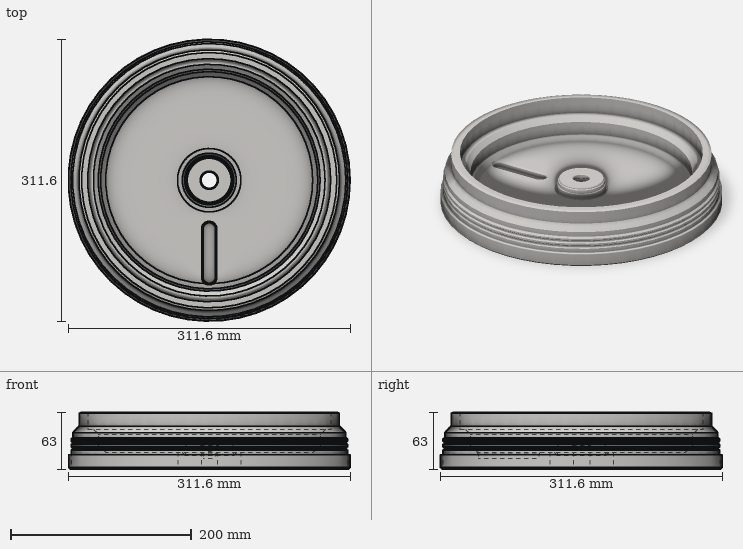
import cadquery as cq

total_height = 63.0
floor_z = 18.7
band_height = 16.2

rim_radius = 288.0 / 2
rim_top_radius = 282.0 / 2
rim_edge_drop = 1.2
neck_z = 46.5
neck_flare = 1.2
shoulder_radius = 302.0 / 2
shoulder_z = 40.5
rib_radius = 306.0 / 2
groove_radius = 303.0 / 2
groove_slope = 1.2
groove_spans = [(22.0, 23.7), (28.5, 30.0)]
rib_top_z = 33.0
rib_shoulder_z = 35.0

upper_bore_radius = 268.5 / 2
ledge_radius = 128.0
ledge_z = 44.0
lower_bore_radius = 245.3 / 2
inner_cone_z = ledge_z - (ledge_radius - lower_bore_radius)
step_radius = 120.0
step_z = 23.5
floor_radius = 114.5

band_radius = 155.8
band_bottom_chamfer = 2.2
band_top_fillet = 1.2

slot_width = 16.8
slot_inner_end = -45.5
slot_outer_end = -115.5
slot_depth = 6.5
slot_chamfer = 1.5

flange_radius = 70.0 / 2
hub_top_z = 31.5
hub_top_radius = 48.5 / 2
hub_radius = 50 / 2
hub_top_chamfer_height = 1.0
hub_middle_radius = 26.0
hub_base_radius = 26.5
hub_upper_step_z = 29.5
hub_lower_step_z = 24.5
hub_base_z = 18.0
moat_top_radius = 30.0
moat_bottom_radius = 27.0
moat_z = 15.5
bore_radius = 18.0 / 2
bore_mouth_radius = 20.0 / 2
bore_groove_z = 26.0


def revolve_profile(points):
    """Revolve a closed (radius, height) outline about the Z axis."""
    return cq.Workplane("XZ").polyline(points).close().revolve(360, (0, 0, 0), (0, 1, 0))


def slot_prism(width, depth, taper=0):
    """Stadium-shaped prism going down from the floor height."""
    length = slot_inner_end - slot_outer_end - (slot_width - width)
    middle = (slot_inner_end + slot_outer_end) / 2
    sketch = cq.Workplane("XY").workplane(offset=floor_z).center(0, middle)
    return sketch.slot2D(length, width, 90).extrude(-depth, taper=taper)


def slot_cutter():
    """Straight-walled slot with a chamfered mouth, open upward where it meets the floor cone."""
    narrow_width = slot_width - 2 * slot_chamfer
    bottom = slot_prism(narrow_width, slot_depth)
    mouth = slot_prism(slot_width, slot_chamfer, taper=45)
    above = slot_prism(slot_width, floor_z - step_z)
    return bottom.union(mouth).union(above)


def make_dish():
    """Ribbed round dish with a stepped bore, a seat for the hub and a slot."""
    grooves = []
    for low, high in groove_spans:
        grooves += [
            (rib_radius, low - groove_slope),
            (groove_radius, low),
            (groove_radius, high),
            (rib_radius, high + groove_slope),
        ]
    outside = [
        (flange_radius, 0),
        (rib_radius, 0),
        *grooves,
        (rib_radius, rib_top_z),
        (shoulder_radius, rib_shoulder_z),
        (shoulder_radius, shoulder_z),
        (rim_radius + neck_flare, neck_z),
        (rim_radius, neck_z + neck_flare),
        (rim_radius, total_height - rim_edge_drop),
        (rim_top_radius, total_height),
    ]
    inside = [
        (upper_bore_radius, total_height),
        (upper_bore_radius, ledge_z),
        (ledge_radius, ledge_z),
        (lower_bore_radius, inner_cone_z),
        (lower_bore_radius, step_z),
        (step_radius, step_z),
        (floor_radius, floor_z),
        (flange_radius, floor_z),
    ]
    return revolve_profile(outside + inside).cut(slot_cutter())


def make_band():
    """Ring around the base of the dish, chamfered below and rounded above."""
    ring = cq.Workplane("XY").circle(band_radius).circle(rib_radius).extrude(band_height)
    outer_edge = cq.selectors.RadiusNthSelector(-1)
    ring = ring.faces("<Z").edges(outer_edge).chamfer(band_bottom_chamfer)
    return ring.faces(">Z").edges(outer_edge).fillet(band_top_fillet)


def make_hub():
    """Hub with a grooved bore, a flange flush with the floor, a stepped neck and a sloped moat."""
    chamfer = bore_mouth_radius - bore_radius
    return revolve_profile([
        (bore_radius, 0),
        (flange_radius, 0),
        (flange_radius, floor_z),
        (moat_top_radius, floor_z),
        (moat_bottom_radius, moat_z),
        (hub_base_radius, hub_base_z),
        (hub_base_radius, hub_lower_step_z - (hub_base_radius - hub_middle_radius)),
        (hub_middle_radius, hub_lower_step_z),
        (hub_middle_radius, hub_upper_step_z - (hub_middle_radius - hub_radius)),
        (hub_radius, hub_upper_step_z),
        (hub_radius, hub_top_z - hub_top_chamfer_height),
        (hub_top_radius, hub_top_z),
        (bore_mouth_radius, hub_top_z),
        (bore_radius, hub_top_z - chamfer),
        (bore_radius, bore_groove_z + chamfer),
        (bore_mouth_radius, bore_groove_z),
        (bore_radius, bore_groove_z - chamfer),
    ])


dish = make_dish()
band = make_band()
hub = make_hub()

result = cq.Compound.makeCompound([dish.val(), band.val(), hub.val()])